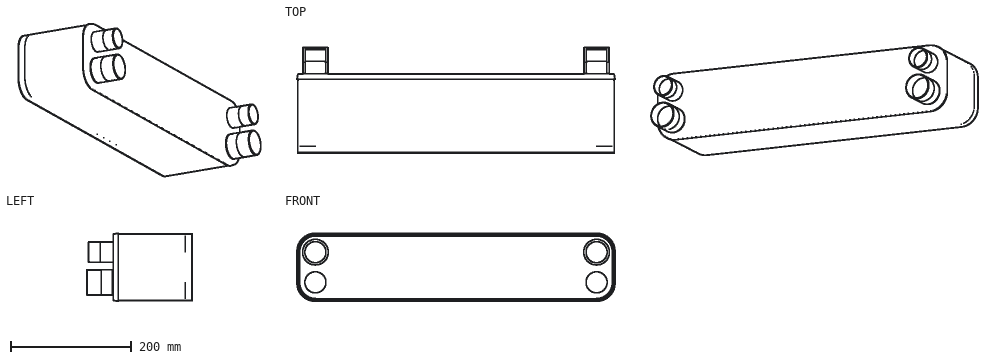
import cadquery as cq
import math


flange_length = 527.36
flange_height = 112.91
overall_depth = 175.5
port_center_x = 233.0
port_center_z = 25.0
draft_angle = 9.0

pack_inset = 1.0
pack_straight_end = 118.1
pack_end = 122.9

tray_rim_depth = 1.2
tray_depth = 11.8
tray_floor_depth = 8.6
tray_lip = 2.3

dome_radius = 17.5
dome_height = 5.0
dimple_radius = 21.3
dimple_depth = 1.5

cover_thickness = 8.5
cover_fillet = 2.4
boss_height = 1.5

large_port_radius = 21.0
small_port_radius = 17.0
small_port_shortfall = 3.0
large_bore_depth = 24.5
small_bore_depth = 19.7
port_wall = 1.2
port_chamfer = 1.0

cover_rear = pack_end + cover_thickness


def rounded_outline(depth, inset):
    """Rounded rectangle at a given depth, set in from the cover flange."""
    corner_radius = flange_length / 2 - port_center_x - inset
    return (
        cq.Workplane("XZ", origin=(0, depth, 0))
        .sketch()
        .rect(flange_length - 2 * inset, flange_height - 2 * inset)
        .vertices()
        .fillet(corner_radius)
        .finalize()
    )


def slab(front, rear, inset, taper=0):
    """Rounded slab between two depths; a taper narrows it towards the rear."""
    return rounded_outline(front, inset).extrude(front - rear, taper=taper)


def disc(x, z, front, rear, radius):
    """Cylinder along Y between two depths."""
    return cq.Workplane("XZ", origin=(x, front, z)).circle(radius).extrude(front - rear)


def make_tray_envelope():
    """Outside of the front tray, which is also the seat it needs in the pack."""
    rim = slab(0, tray_rim_depth, pack_inset)
    return rim.union(slab(tray_rim_depth, tray_depth, pack_inset, draft_angle))


def make_pack():
    straight = slab(0, pack_straight_end, pack_inset)
    tapered_end = slab(pack_straight_end, pack_end, pack_inset, draft_angle)
    return straight.union(tapered_end).cut(make_tray_envelope())


def make_dome(x, z, base_depth):
    """Spherical cap that bulges towards the open front of the tray."""
    apex_depth = base_depth - dome_height
    root_depth = (base_depth + tray_depth) / 2
    ball_radius = (dome_radius**2 + dome_height**2) / (2 * dome_height)
    return (
        cq.Workplane("XY", origin=(x, 0, z))
        .moveTo(0, apex_depth)
        .radiusArc((dome_radius, base_depth), -ball_radius)
        .lineTo(dome_radius, root_depth)
        .lineTo(0, root_depth)
        .close()
        .revolve(360, (0, 0), (0, 1))
    )


def make_dimple(x, z):
    """Conical ring around an upper dome, narrowing from the floor to the dome edge."""
    wall_angle = math.degrees(math.atan2(dimple_radius - dome_radius, dimple_depth))
    return (
        cq.Workplane("XZ", origin=(x, tray_floor_depth, z))
        .circle(dimple_radius)
        .extrude(-dimple_depth, taper=wall_angle)
    )


def make_tray():
    tray = make_tray_envelope().cut(slab(0, tray_floor_depth, pack_inset + tray_lip, draft_angle))
    for side in (-1, 1):
        x = side * port_center_x
        tray = tray.cut(make_dimple(x, port_center_z))
        tray = tray.union(make_dome(x, port_center_z, tray_floor_depth + dimple_depth))
        tray = tray.union(make_dome(x, -port_center_z, tray_floor_depth))
    return tray


def make_cover():
    cover = slab(pack_end, cover_rear, 0, draft_angle)
    cover = cover.faces(">Y").edges().fillet(cover_fillet)
    for side in (-1, 1):
        boss = disc(
            side * port_center_x, -port_center_z, cover_rear, cover_rear + boss_height, large_port_radius
        )
        cover = cover.union(boss)
    return cover


def make_port(x, z, base, end, radius, bore_depth):
    tube = disc(x, z, base, end, radius).faces(">Y").chamfer(port_chamfer)
    return tube.cut(disc(x, z, end - bore_depth, end, radius - port_wall))


pack = make_pack()
tray = make_tray()
cover = make_cover()
ports = []
for side in (-1, 1):
    x = side * port_center_x
    large_port = make_port(
        x, -port_center_z, cover_rear + boss_height, overall_depth, large_port_radius, large_bore_depth
    )
    small_port = make_port(
        x, port_center_z, cover_rear, overall_depth - small_port_shortfall, small_port_radius, small_bore_depth
    )
    ports += [large_port, small_port]

result = cq.Compound.makeCompound(
    [pack.val(), tray.val(), cover.val(), *[port.val() for port in ports]]
)